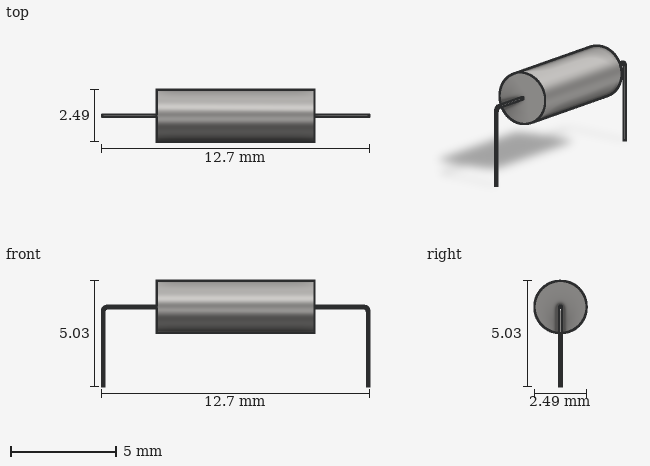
import cadquery as cq

body_diameter = 2.49
body_length = 7.49
overall_span = 12.7
overall_height = 5.03
wire_diameter = 0.125
bend_radius = 0.22

body_end_x = body_length / 2
leg_x = (overall_span - wire_diameter) / 2
leg_bottom_z = body_diameter / 2 - overall_height


def make_body():
    """Plain cylindrical body with its axis along X."""
    return cq.Workplane("YZ", origin=(-body_end_x, 0, 0)).circle(body_diameter / 2).extrude(body_length)


def make_lead(side):
    """Round wire leaving one end face and bent down; side is -1 or +1 along X."""
    path = (
        cq.Workplane("XZ")
        .moveTo(side * body_end_x, 0)
        .lineTo(side * (leg_x - bend_radius), 0)
        .tangentArcPoint((side * leg_x, -bend_radius), relative=False)
        .lineTo(side * leg_x, leg_bottom_z)
    )
    section = cq.Workplane("YZ", origin=(side * body_end_x, 0, 0)).circle(wire_diameter / 2)
    return section.sweep(path)


body = make_body()
leads = [make_lead(side) for side in (-1, 1)]

result = cq.Compound.makeCompound([body.val(), *[lead.val() for lead in leads]])